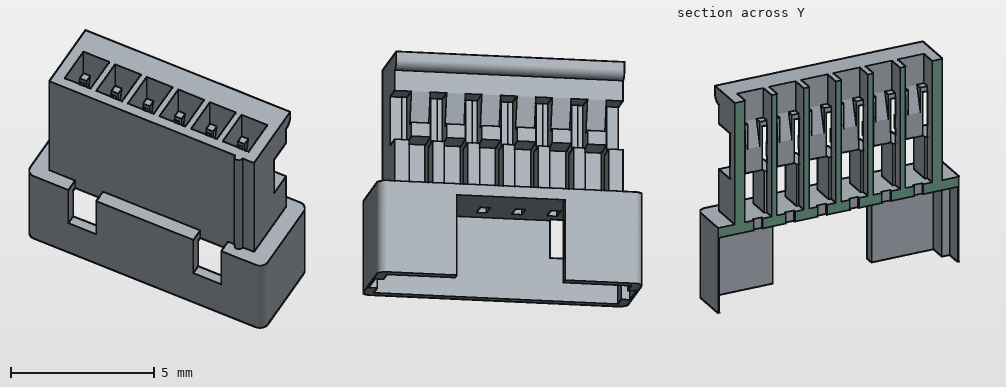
import cadquery as cq
import math

skirt_length = 9.4
skirt_depth = 3.3
skirt_height = 3.3
skirt_corner_radius = 0.32
skirt_wall = 0.37
roof_thickness = 0.4
cavity_height = skirt_height - roof_thickness
end_recess_depth = 0.3
end_recess_width = 1.24

total_height = 8.0
body_length = 8.1
body_front = -1.15
body_back = 1.24
lip_back = 1.55
lip_height = 0.6
lip_radius = lip_back - body_back

rib_x = 3.45
rib_radius = 0.15

notch_spacing = 4.94
notch_width = 1.1
notch_depth = 1.75

socket_count = 6
socket_pitch = 1.25
socket_width = 1.02
socket_front = -0.77
socket_back = 0.63
pin_slot_width = 0.35
pin_slot_front = -0.64
pin_slot_back = 0.08

recess_front = 0.36
recess_top = 6.66
recess_bottom = 4.91
latch_width = 0.67
latch_step_y = 0.93
latch_step_z = 5.55
latch_heel_z = 5.05
latch_toe_z = 4.98
ramp_width = 0.48
ramp_height = 0.95
step_above_recess = 0.2
socket_step_z = recess_top + step_above_recess
latch_slot_width = 0.84

socket_xs = [(i - (socket_count - 1) / 2) * socket_pitch for i in range(socket_count)]


def block(x_centre, length, y_min, y_max, z_min, z_max):
    """Upright box, centred on x_centre and bounded in Y and Z."""
    return (
        cq.Workplane("XY")
        .box(length, y_max - y_min, z_max - z_min, centered=(True, False, False))
        .translate((x_centre, y_min, z_min))
    )


def extrude_side_profile(outline, x_centre, length):
    """Extrude a wire drawn on the YZ plane along X, centred on x_centre."""
    return outline.close().extrude(length / 2, both=True).translate((x_centre, 0, 0))


def make_skirt():
    skirt = block(0, skirt_length, -skirt_depth / 2, skirt_depth / 2, 0, skirt_height)
    return skirt.edges("|Z").fillet(skirt_corner_radius)


def make_skirt_cavity():
    """Open-bottomed cavity, with a shallow recess in each end wall and a window in the back wall."""
    inner_length = skirt_length - 2 * skirt_wall
    inner_y = skirt_depth / 2 - skirt_wall
    window_width = notch_spacing - notch_width
    cavity = block(0, inner_length, -inner_y, inner_y, 0, cavity_height)
    end_recesses = block(
        0, inner_length + 2 * end_recess_depth, -end_recess_width / 2, end_recess_width / 2, 0, cavity_height
    )
    window = block(0, window_width, 0, skirt_depth / 2, 0, cavity_height)
    return cavity.union(end_recesses).union(window)


def make_body():
    """Body with a rear lip along its top edge, rounded underneath."""
    lip_bottom = total_height - lip_height
    arc_middle = (
        body_back + lip_radius * math.sin(math.pi / 4),
        lip_bottom + lip_radius * (1 - math.cos(math.pi / 4)),
    )
    outline = (
        cq.Workplane("YZ")
        .moveTo(body_front, cavity_height)
        .lineTo(body_back, cavity_height)
        .lineTo(body_back, lip_bottom)
        .threePointArc(arc_middle, (lip_back, lip_bottom + lip_radius))
        .lineTo(lip_back, total_height)
        .lineTo(body_front, total_height)
    )
    return extrude_side_profile(outline, 0, body_length)


def make_rib():
    return (
        cq.Workplane("XY", origin=(rib_x, body_front, skirt_height))
        .circle(rib_radius)
        .extrude(total_height - skirt_height)
    )


def make_notch(x_centre):
    return block(
        x_centre, notch_width, -skirt_depth / 2, body_front, skirt_height - notch_depth, skirt_height
    )


def make_socket(x_centre):
    """Socket that narrows at a step above the latch recess and ends in a pin slot through the floor."""
    upper = block(x_centre, socket_width, socket_front, socket_back, socket_step_z, total_height)
    lower = block(x_centre, socket_width, socket_front, recess_front, skirt_height, socket_step_z)
    slot = block(x_centre, pin_slot_width, pin_slot_front, pin_slot_back, cavity_height, skirt_height)
    return upper.union(lower).union(slot)


def make_latch_slot(x_centre):
    """Clearance below the latch, running down to the top of the skirt."""
    return block(x_centre, latch_slot_width, recess_front, body_back, skirt_height, recess_bottom)


def make_latch(x_centre):
    """Latch with a stepped heel at the back."""
    outline = (
        cq.Workplane("YZ")
        .moveTo(body_back, recess_top)
        .lineTo(latch_step_y, latch_step_z)
        .lineTo(body_back, latch_step_z)
        .lineTo(body_back, latch_heel_z)
        .lineTo(recess_front, latch_toe_z)
        .lineTo(recess_front, recess_top)
    )
    return extrude_side_profile(outline, x_centre, latch_width)


def make_ramp_groove(x_centre):
    """Sloped lead-in running from the socket step down the front face of the latch."""
    outline = (
        cq.Workplane("YZ")
        .moveTo(recess_front, socket_step_z)
        .lineTo(socket_back, socket_step_z)
        .lineTo(recess_front, socket_step_z - ramp_height)
    )
    return extrude_side_profile(outline, x_centre, ramp_width)


result = make_skirt().union(make_body()).union(make_rib()).cut(make_skirt_cavity())
result = result.cut(block(0, body_length, recess_front, body_back, recess_bottom, recess_top))

for notch_x in (-notch_spacing / 2, notch_spacing / 2):
    result = result.cut(make_notch(notch_x))

for socket_x in socket_xs:
    result = result.cut(make_socket(socket_x))
    result = result.cut(make_latch_slot(socket_x))
    result = result.union(make_latch(socket_x))
    result = result.cut(make_ramp_groove(socket_x))